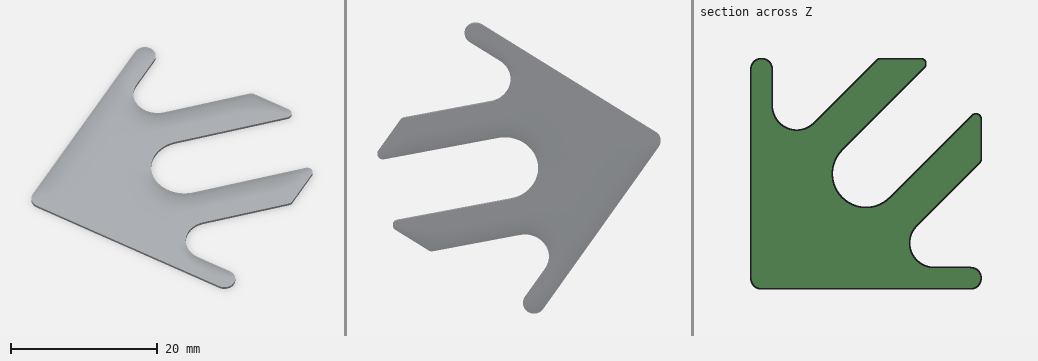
import cadquery as cq
import math

side = 31.5
thickness = 0.38
arm_width = 3.0
arm_radius = arm_width / 2
slot_radius = 4.57
slot_center = 15.75
pocket_radius = 3.3
pocket_center_x = arm_width + pocket_radius
pocket_center_y = 25.05
tip_radius = 0.75

diagonal = math.sqrt(2)
slot_offset = slot_radius * diagonal
prong_offset = pocket_center_y - pocket_center_x - pocket_radius * diagonal

pocket_corner = (arm_width, arm_width + prong_offset)
prong_outer = (side - prong_offset, side)
prong_inner = (side - slot_offset, side)
slot_tangent = (slot_center - slot_offset / 2, slot_center + slot_offset / 2)
slot_bottom = (slot_center - slot_offset / 2, slot_center - slot_offset / 2)


def mirrored(point):
    """Reflect a point across the diagonal Y = X."""
    return (point[1], point[0])


arm_end_outer = (0, side - arm_radius)
arm_end_middle = (arm_radius, side)
arm_end_inner = (arm_width, side - arm_radius)

plate = (
    cq.Workplane("XY")
    .moveTo(0, 0)
    .lineTo(*arm_end_outer)
    .threePointArc(arm_end_middle, arm_end_inner)
    .lineTo(*pocket_corner)
    .lineTo(*prong_outer)
    .lineTo(*prong_inner)
    .lineTo(*slot_tangent)
    .threePointArc(slot_bottom, mirrored(slot_tangent))
    .lineTo(*mirrored(prong_inner))
    .lineTo(*mirrored(prong_outer))
    .lineTo(*mirrored(pocket_corner))
    .lineTo(*mirrored(arm_end_inner))
    .threePointArc(mirrored(arm_end_middle), mirrored(arm_end_outer))
    .close()
    .extrude(thickness)
)


def round_corner(body, point, radius):
    """Round the upright edge standing at the given corner."""
    corner = cq.selectors.NearestToPointSelector((*point, thickness / 2))
    return body.edges("|Z").edges(corner).fillet(radius)


plate = round_corner(plate, (0, 0), arm_radius)
for corner, radius in (
    (pocket_corner, pocket_radius),
    (prong_outer, tip_radius),
    (prong_inner, tip_radius),
):
    plate = round_corner(plate, corner, radius)
    plate = round_corner(plate, mirrored(corner), radius)

result = plate